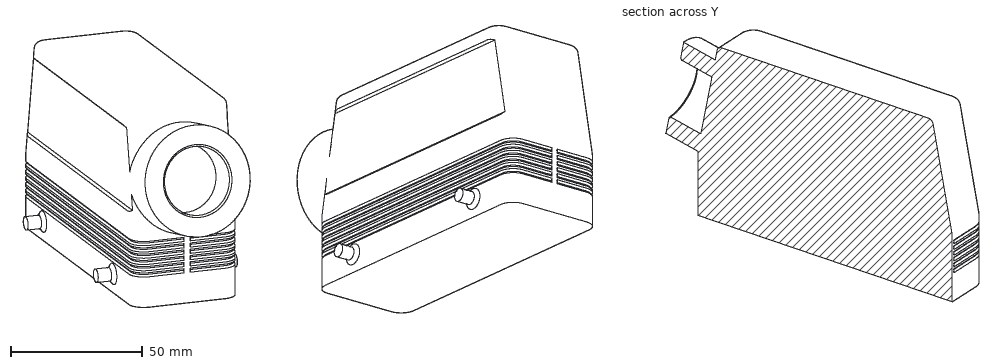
import math

import cadquery as cq

body_length = 120.0
body_width = 43.0
body_height = 76.0
bend_height = 29.5
end_lean = 11.3
bend_radius = 6.0
corner_radius = 6.0
top_radius = 2.5

recess_bottom = 37.0
recess_top = 70.0
recess_depth = 0.9

groove_count = 6
groove_pitch = 2.5
groove_opening = 1.65
groove_depth = 0.7
lowest_groove_height = 13.0
groove_gap = 2.5

peg_spacing = 74.0
peg_height = 7.5
peg_diameter = 5.2
peg_span = 57.0
peg_base_diameter = 8.3
peg_base_length = 1.5

collar_diameter = 43.0
overall_length = 135.24
collar_height = 48.8
collar_root_angle = 9.0
collar_root_length = 8.0
bore_diameter = 26.5
bore_chamfer = 0.75

margin = 1.0

half_length = body_length / 2
half_width = body_width / 2
lean = math.radians(end_lean)


def end_wall_x(height):
    """X of the +X end wall at a height above the bend."""
    return half_length - (height - bend_height) * math.tan(lean)


mouth_x = overall_length - half_length - collar_diameter / 2 * math.sin(lean)
collar_length = (mouth_x - end_wall_x(collar_height)) / math.cos(lean)


def make_body():
    """Solid hood with rounded corners, rounded bends and a rounded top rim."""
    top_half_length = end_wall_x(body_height)
    profile = [
        (-half_length, 0),
        (half_length, 0),
        (half_length, bend_height),
        (top_half_length, body_height),
        (-top_half_length, body_height),
        (-half_length, bend_height),
    ]
    body = cq.Workplane("XZ").polyline(profile).close().extrude(half_width, both=True)
    at_bend = cq.selectors.BoxSelector(
        (-body_length, -body_width, bend_height - margin),
        (body_length, body_width, bend_height + margin),
    )
    body = body.edges("|Y").edges(at_bend).fillet(bend_radius)
    upright = body.faces("<Y or >Y").edges("not(#Z)")
    body = upright.fillet(corner_radius)
    return body.faces(">Z").edges().fillet(top_radius)


def make_recess_cutter(side):
    """Bevelled trapezoid bar along the +Y (side 1) or -Y (side -1) wall."""
    floor_y = half_width - recess_depth
    profile = [
        (side * half_width, recess_bottom),
        (side * half_width, recess_top),
        (side * floor_y, recess_top - recess_depth),
        (side * floor_y, recess_bottom + recess_depth),
    ]
    return cq.Workplane("YZ").polyline(profile).close().extrude(half_length, both=True)


def make_groove_cutter(height):
    """Ring with a V-shaped inner face, split at the middle of each end wall."""
    half_opening = groove_opening / 2
    flare = math.degrees(math.atan2(groove_depth, half_opening))
    waist = (
        cq.Sketch()
        .rect(body_length - 2 * groove_depth, body_width - 2 * groove_depth)
        .vertices()
        .fillet(corner_radius - groove_depth)
    )
    middle = cq.Workplane("XY").workplane(offset=height)
    core = middle.placeSketch(waist).extrude(half_opening, taper=-flare)
    core = core.union(core.mirror("XY", (0, 0, height)))
    ring = middle.rect(body_length + 2 * margin, body_width + 2 * margin).extrude(half_opening, both=True)
    gap = middle.rect(body_length + 2 * margin, groove_gap).extrude(half_opening, both=True)
    return ring.cut(core).cut(gap)


def make_peg(x, side):
    """Peg with a conical base, revolved about an axis along Y."""
    tip = peg_span / 2
    base_end = half_width + peg_base_length
    root = half_width - recess_depth
    profile = [
        (0, root),
        (peg_base_diameter / 2, root),
        (peg_base_diameter / 2, half_width),
        (peg_diameter / 2, base_end),
        (peg_diameter / 2, tip),
        (0, tip),
    ]
    peg = cq.Workplane("XY").polyline(profile).close().revolve(360, (0, 0), (0, 1))
    if side < 0:
        peg = peg.mirror("XZ")
    return peg.translate((x, 0, peg_height))


def collar_plane():
    """Plane lying on the +X end wall, facing out along the collar axis."""
    return cq.Plane(
        origin=(end_wall_x(collar_height), 0, collar_height),
        xDir=(0, 1, 0),
        normal=(math.cos(lean), 0, math.sin(lean)),
    )


def make_collar():
    """Cylinder outside the end wall and a tapered root inside it."""
    at_wall = cq.Workplane(collar_plane())
    barrel = at_wall.circle(collar_diameter / 2).extrude(collar_length)
    root = at_wall.circle(collar_diameter / 2).extrude(-collar_root_length, taper=collar_root_angle)
    return barrel.union(root)


def make_bore():
    """Bore as deep as the collar, with a chamfered mouth."""
    bore = cq.Workplane(collar_plane()).circle(bore_diameter / 2).extrude(collar_length)
    mouth = (
        cq.Workplane(collar_plane())
        .workplane(offset=collar_length)
        .circle(bore_diameter / 2 + bore_chamfer)
        .extrude(-bore_chamfer, taper=45)
    )
    return bore.union(mouth)


result = make_body()
for side in (-1, 1):
    result = result.cut(make_recess_cutter(side))
for index in range(groove_count):
    result = result.cut(make_groove_cutter(lowest_groove_height + index * groove_pitch))
result = result.union(make_collar()).cut(make_bore())
for side in (-1, 1):
    for x in (-peg_spacing / 2, peg_spacing / 2):
        result = result.union(make_peg(x, side))
result = result.solids()